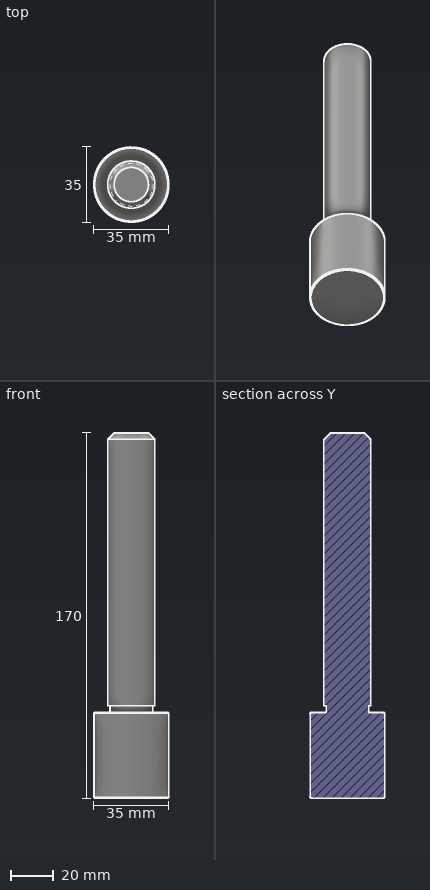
import cadquery as cq

total_length = 170.0
head_diameter = 35.0
head_length = 40.0
head_chamfer = 0.5
neck_diameter = 20.0
neck_length = 3.0
shank_diameter = 22.0
tip_chamfer = 3.0

head_bottom = 0.0
head_top = head_bottom + head_length
shank_bottom = head_top + neck_length
shank_top = head_bottom + total_length


def make_cylinder(diameter, bottom, top):
    """Cylinder on the Z axis between two heights."""
    return cq.Workplane("XY").workplane(offset=bottom).circle(diameter / 2).extrude(top - bottom)


def make_head():
    """Large cylindrical head with both rims chamfered."""
    head = make_cylinder(head_diameter, head_bottom, head_top)
    return head.faces("<Z or >Z").edges().chamfer(head_chamfer)


def make_neck():
    """Relief neck between the head and the shank."""
    return make_cylinder(neck_diameter, head_top, shank_bottom)


def make_shank():
    """Long shank with a chamfered free end."""
    shank = make_cylinder(shank_diameter, shank_bottom, shank_top)
    return shank.faces(">Z").edges().chamfer(tip_chamfer)


result = make_head().union(make_neck()).union(make_shank())